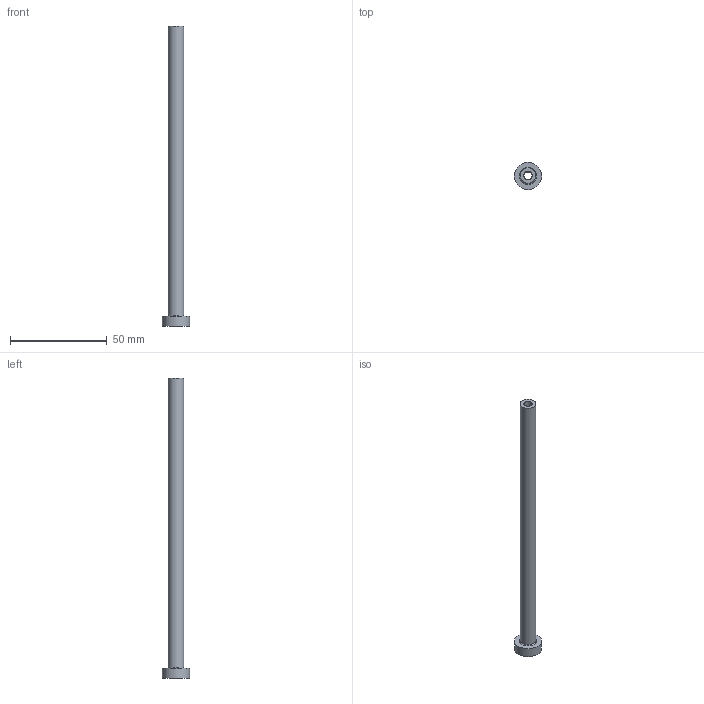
import cadquery as cq

total_length = 155.0
head_diameter = 14.0
head_height = 5.0
shaft_diameter = 8.0
bore_diameter = 4.2
neck_fillet_radius = 0.5


def make_sleeve_profile():
    """Half section of the sleeve wall, in the XZ plane at positive X."""
    bore_radius = bore_diameter / 2
    shaft_radius = shaft_diameter / 2
    head_radius = head_diameter / 2
    fillet_outer_radius = shaft_radius + neck_fillet_radius
    fillet_top = head_height + neck_fillet_radius

    return (
        cq.Workplane("XZ")
        .moveTo(bore_radius, 0)
        .lineTo(head_radius, 0)
        .lineTo(head_radius, head_height)
        .lineTo(fillet_outer_radius, head_height)
        .radiusArc((shaft_radius, fillet_top), neck_fillet_radius)
        .lineTo(shaft_radius, total_length)
        .lineTo(bore_radius, total_length)
        .close()
    )


def make_sleeve():
    """Revolve the wall section a full turn about the Z axis."""
    full_turn = 360
    return make_sleeve_profile().revolve(full_turn, (0, 0, 0), (0, 1, 0))


result = make_sleeve()